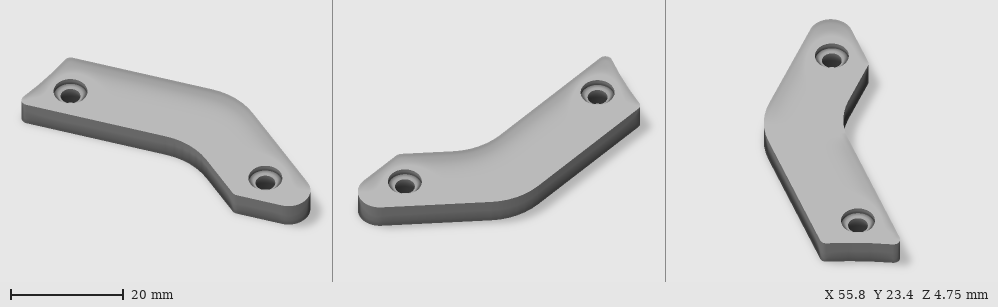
import cadquery as cq
import math

length = 55.75
depth = 23.4
thickness = 4.75

arm_width = 13.45
slope_angle = math.radians(42.8)
inner_bend_x = 32.15
bend_radius = 12.6
tip_radius = 3.9
toe_radius = 1.35

hollow_top_x = 4.8
hollow_bottom_x = -0.8
hollow_sag = 0.4
heel_radius = 1.2
shoulder_radius = 1.1

hole_centers = [(7.75, 15.45), (47.05, 5.5)]
hole_diameter = 3.5
counterbore_diameter = 6.0
counterbore_depth = 1.2

arm_bottom_y = depth - arm_width
toe_x = inner_bend_x + arm_bottom_y / math.tan(slope_angle)
tip_x = length - tip_radius + tip_radius / math.tan(slope_angle / 2)
outer_bend_x = tip_x - depth / math.tan(slope_angle)

hollow_run = hollow_top_x - hollow_bottom_x
hollow_chord = math.hypot(hollow_run, arm_width)
hollow_middle = (
    (hollow_top_x + hollow_bottom_x) / 2 + hollow_sag * arm_width / hollow_chord,
    arm_bottom_y + arm_width / 2 - hollow_sag * hollow_run / hollow_chord,
)


def round_corner(body, x, y, radius):
    """Round the vertical edge standing at (x, y)."""
    edge = cq.selectors.NearestToPointSelector((x, y, thickness / 2))
    return body.edges("|Z").edges(edge).fillet(radius)


plate = (
    cq.Workplane("XY")
    .moveTo(hollow_bottom_x, arm_bottom_y)
    .lineTo(inner_bend_x, arm_bottom_y)
    .lineTo(toe_x, 0)
    .lineTo(tip_x, 0)
    .lineTo(outer_bend_x, depth)
    .lineTo(hollow_top_x, depth)
    .threePointArc(hollow_middle, (hollow_bottom_x, arm_bottom_y))
    .close()
    .extrude(thickness)
)

corner_rounds = [
    (hollow_bottom_x, arm_bottom_y, heel_radius),
    (inner_bend_x, arm_bottom_y, bend_radius),
    (toe_x, 0, toe_radius),
    (tip_x, 0, tip_radius),
    (outer_bend_x, depth, bend_radius),
    (hollow_top_x, depth, shoulder_radius),
]
for corner_x, corner_y, corner_radius in corner_rounds:
    plate = round_corner(plate, corner_x, corner_y, corner_radius)

result = (
    plate.faces(">Z")
    .workplane(origin=(0, 0, thickness))
    .pushPoints(hole_centers)
    .cboreHole(hole_diameter, counterbore_diameter, counterbore_depth)
)